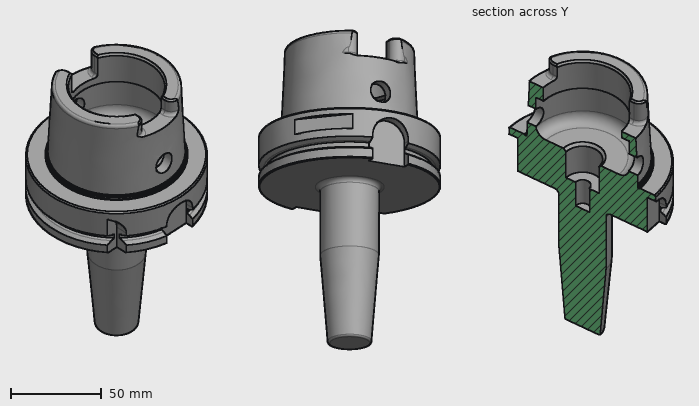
import cadquery as cq
import math

total_height = 170.0
flange_top = 120.0
flange_bottom = 90.8
taper_base = 122.5
nose_top = 51.0

taper_base_radius = 37.9
taper_slope = 0.048
taper_top_radius = taper_base_radius - taper_slope * (total_height - taper_base)
shank_rim_round = 1.9
relief_depth = 0.2
relief_bottom = 121.2
relief_flank_height = 0.5

face_groove_radius = 39.3
face_groove_depth = 0.5

flange_radius = 50.0
flange_top_chamfer = 0.8
flange_bottom_chamfer = 0.5
groove_center = 99.8
groove_floor_radius = 45.9
groove_floor_half_width = 1.4
groove_waist_radius = 47.5
groove_waist_half_width = 1.9
groove_flank_angle = math.radians(30)
groove_mouth_half_width = (
    groove_waist_half_width
    + (flange_radius - groove_waist_radius) * math.tan(groove_flank_angle)
)

nose_diameter = 32.5
nose_radius = nose_diameter / 2
nose_root_round = 2.7
tip_radius = 12.0
tip_round = 1.2

mouth_radius = 26.5
mouth_chamfer = 1.0
mouth_chamfer_depth = 1.4
mouth_bottom = 150.1
chamber_radius = 31.5
chamber_floor = 123.0
chamber_floor_round = 6.6

seat_radius = 11.0
seat_chamfer = 1.7
seat_depth = 20.4
coolant_hole_radius = 4.6
coolant_hole_depth = 17.0

drive_slot_half_width = 10.0
lug_corner_radius = 5.0
lug_corner_x = 27.4
lug_corner_y = drive_slot_half_width + lug_corner_radius
drive_slot_floor_round = 2.0
drive_slot_rim_chamfer = 1.0
drive_slot_inner_x = 13.6
drive_slot_runout = 18.7
drive_slot_outer_x = 51.0
left_slot_floor = 154.9
right_slot_floor = 160.0

access_hole_radius = 6.1
left_hole_height = 134.8
right_hole_height = 135.7
access_hole_inner_x = 17.0

keyway_floor = 44.0
left_keyway_radius = 11.0
right_keyway_radius = 10.0
keyway_center = 104.5
corner_keyway_floor = 31.5
corner_keyway_wall = -31.5
corner_keyway_center = 105.0

pocket_angle = 135.0
pocket_floor_distance = 47.1
pocket_bottom = 107.6
pocket_top = 116.1

clearance = 8.5


def make_body():
    """Revolved outside: nose, flange with gripper groove, and taper shank."""
    groove_top = groove_center + groove_mouth_half_width
    groove_bottom = groove_center - groove_mouth_half_width
    groove_floor_top = groove_center + groove_floor_half_width
    groove_floor_bottom = groove_center - groove_floor_half_width
    relief_radius = taper_base_radius - relief_depth
    root_arc_offset = nose_root_round * (1 - math.sqrt(0.5))
    profile = (
        cq.Workplane("XZ")
        .moveTo(0, 0)
        .lineTo(tip_radius, 0)
        .lineTo(nose_radius, nose_top)
        .lineTo(nose_radius, flange_bottom - nose_root_round)
        .threePointArc(
            (nose_radius + root_arc_offset, flange_bottom - root_arc_offset),
            (nose_radius + nose_root_round, flange_bottom),
        )
        .lineTo(flange_radius - flange_bottom_chamfer, flange_bottom)
        .lineTo(flange_radius, flange_bottom + flange_bottom_chamfer)
        .lineTo(flange_radius, groove_bottom)
        .lineTo(groove_waist_radius, groove_center - groove_waist_half_width)
        .lineTo(groove_floor_radius, groove_floor_bottom)
        .lineTo(groove_floor_radius, groove_floor_top)
        .lineTo(groove_waist_radius, groove_center + groove_waist_half_width)
        .lineTo(flange_radius, groove_top)
        .lineTo(flange_radius, flange_top - flange_top_chamfer)
        .lineTo(flange_radius - flange_top_chamfer, flange_top)
        .lineTo(face_groove_radius, flange_top)
        .lineTo(face_groove_radius - face_groove_depth, flange_top - face_groove_depth)
        .lineTo(taper_base_radius, flange_top - face_groove_depth)
        .lineTo(taper_base_radius, relief_bottom - relief_flank_height)
        .lineTo(relief_radius, relief_bottom)
        .lineTo(relief_radius, taper_base - relief_flank_height)
        .lineTo(taper_base_radius, taper_base)
        .lineTo(taper_top_radius, total_height)
        .lineTo(0, total_height)
        .close()
    )
    body = profile.revolve(360, (0, 0, 0), (0, 1, 0))
    body = body.faces("<Z").edges().fillet(tip_round)
    return body.faces(">Z").edges().fillet(shank_rim_round)


def make_bore():
    """Revolved inside: mouth, undercut chamber, coolant seat and blind hole."""
    seat_floor = chamber_floor - seat_depth
    hole_floor = seat_floor - coolant_hole_depth
    round_center_radius = chamber_radius - chamber_floor_round
    round_top = chamber_floor + chamber_floor_round
    arc_reach = chamber_floor_round * math.sqrt(0.5)
    profile = (
        cq.Workplane("XZ")
        .moveTo(0, hole_floor)
        .lineTo(coolant_hole_radius, hole_floor)
        .lineTo(coolant_hole_radius, seat_floor)
        .lineTo(seat_radius, seat_floor)
        .lineTo(seat_radius, chamber_floor - seat_chamfer)
        .lineTo(seat_radius + seat_chamfer, chamber_floor)
        .lineTo(round_center_radius, chamber_floor)
        .threePointArc(
            (round_center_radius + arc_reach, round_top - arc_reach),
            (chamber_radius, round_top),
        )
        .lineTo(chamber_radius, mouth_bottom)
        .lineTo(mouth_radius, mouth_bottom)
        .lineTo(mouth_radius, total_height - mouth_chamfer_depth)
        .lineTo(mouth_radius + mouth_chamfer, total_height)
        .lineTo(0, total_height)
        .close()
    )
    return profile.revolve(360, (0, 0, 0), (0, 1, 0))


def drive_slot_outline(side, height):
    """Slot outline: each wall turns round a lug corner, then runs out tangentially."""
    lug_angle = math.atan2(lug_corner_y, lug_corner_x)
    arc_end_distance = math.hypot(lug_corner_x, lug_corner_y) + lug_corner_radius
    end_x = arc_end_distance * math.cos(lug_angle)
    end_y = arc_end_distance * math.sin(lug_angle)
    runout_x = end_x - drive_slot_runout * math.sin(lug_angle)
    runout_y = end_y + drive_slot_runout * math.cos(lug_angle)
    middle_angle = (lug_angle - math.pi / 2) / 2
    middle_x = lug_corner_x + lug_corner_radius * math.cos(middle_angle)
    middle_y = lug_corner_y + lug_corner_radius * math.sin(middle_angle)
    return (
        cq.Workplane("XY", origin=(0, 0, height))
        .moveTo(side * drive_slot_inner_x, -drive_slot_half_width)
        .lineTo(side * lug_corner_x, -drive_slot_half_width)
        .threePointArc((side * middle_x, -middle_y), (side * end_x, -end_y))
        .lineTo(side * runout_x, -runout_y)
        .lineTo(side * drive_slot_outer_x, -runout_y)
        .lineTo(side * drive_slot_outer_x, runout_y)
        .lineTo(side * runout_x, runout_y)
        .lineTo(side * end_x, end_y)
        .threePointArc((side * middle_x, middle_y), (side * lug_corner_x, drive_slot_half_width))
        .lineTo(side * drive_slot_inner_x, drive_slot_half_width)
        .close()
    )


def make_drive_slot(side, floor):
    """Slot at the end of the taper with a rounded floor and a chamfered rim."""
    slot = drive_slot_outline(side, floor).extrude(total_height - floor)
    slot = slot.faces("<Z").edges().fillet(drive_slot_floor_round)
    rim_bottom = total_height - drive_slot_rim_chamfer
    rim = drive_slot_outline(side, rim_bottom).extrude(drive_slot_rim_chamfer, taper=-45)
    return slot.union(rim)


def make_access_hole(side, height):
    """Radial hole through the taper wall on one side."""
    return (
        cq.Workplane("YZ", origin=(side * access_hole_inner_x, 0, height))
        .circle(access_hole_radius)
        .extrude(side * (taper_base_radius + clearance - access_hole_inner_x))
    )


def make_keyway(side, floor, center_y, center_z, radius):
    """Round-topped keyway, open at the flange underside and rim."""
    bottom = flange_bottom - nose_root_round
    return (
        cq.Workplane("YZ", origin=(side * floor, 0, 0))
        .moveTo(center_y - radius, bottom)
        .lineTo(center_y - radius, center_z)
        .threePointArc((center_y, center_z + radius), (center_y + radius, center_z))
        .lineTo(center_y + radius, bottom)
        .close()
        .extrude(side * (flange_radius + clearance - floor))
    )


def make_rim_pocket():
    """Flat-bottomed rectangular pocket along a chord of the flange rim."""
    return (
        cq.Workplane("XY", origin=(0, 0, pocket_bottom))
        .box(clearance, 2 * flange_radius, pocket_top - pocket_bottom, centered=(False, True, False))
        .translate((pocket_floor_distance, 0, 0))
        .rotate((0, 0, 0), (0, 0, 1), pocket_angle)
    )


holder = make_body().cut(make_bore())
holder = holder.cut(make_drive_slot(-1, left_slot_floor))
holder = holder.cut(make_drive_slot(1, right_slot_floor))
holder = holder.cut(make_access_hole(-1, left_hole_height))
holder = holder.cut(make_access_hole(1, right_hole_height))
holder = holder.cut(make_keyway(-1, keyway_floor, 0, keyway_center, left_keyway_radius))
holder = holder.cut(make_keyway(1, keyway_floor, 0, keyway_center, right_keyway_radius))
holder = holder.cut(
    make_keyway(
        1,
        corner_keyway_floor,
        corner_keyway_wall - right_keyway_radius,
        corner_keyway_center,
        right_keyway_radius,
    )
)
result = holder.cut(make_rim_pocket())